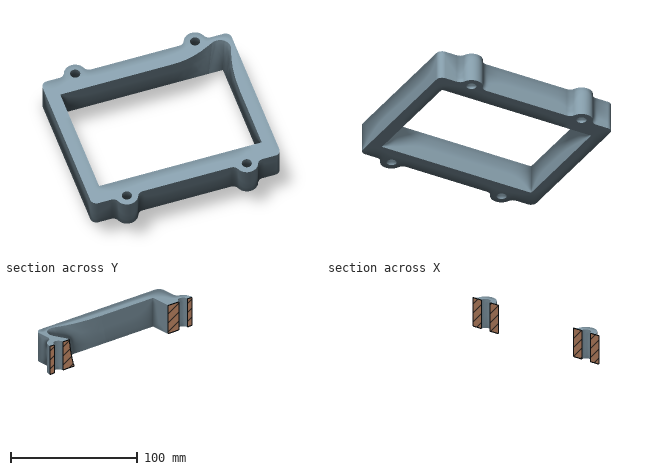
import cadquery as cq
import math

body_width = 128.0
body_length = 158.0
height = 25.0
side_wall = 16.0
end_wall = 11.0
corner_radius = 5.0

lug_radius = 9.0
lug_fillet = 5.0
hole_diameter = 8.0
lug_spacing = 100.2

flare_radius = 8.7
flare_center = (-2.7, -1.5)
flare_start_angle = 70.0
flare_end_angle = 207.0
flare_reach_x = 42.7
flare_reach_y = 42.0
flare_foot_x = 47.9
flare_split_x = 6.8
flare_split_y = 11.8

opening_width = body_width - 2 * side_wall
opening_length = body_length - 2 * end_wall
flare_corner = (-opening_width / 2, opening_length / 2)


def make_body():
    return (
        cq.Workplane("XY")
        .rect(body_width, body_length)
        .extrude(height)
        .edges("|Z")
        .fillet(corner_radius)
    )


def make_lug(x, y):
    """Round lug whose fillets blend tangentially into the long outer edge at x."""
    outward = math.copysign(1, x)
    root = math.sqrt(lug_radius**2 + 2 * lug_radius * lug_fillet)
    blend = lug_radius / (lug_radius + lug_fillet)
    tangent_x = x + outward * blend * lug_fillet
    tangent_y = blend * root
    root_angle = math.atan2(root, lug_fillet)
    middle_angle = math.pi + root_angle / 2
    middle_x = x + outward * lug_fillet * (1 + math.cos(middle_angle))
    middle_y = root + lug_fillet * math.sin(middle_angle)
    inner_x = x - outward * side_wall / 2
    return (
        cq.Workplane("XY")
        .moveTo(inner_x, y - root)
        .lineTo(x, y - root)
        .threePointArc((middle_x, y - middle_y), (tangent_x, y - tangent_y))
        .threePointArc((x + outward * lug_radius, y), (tangent_x, y + tangent_y))
        .threePointArc((middle_x, y + middle_y), (x, y + root))
        .lineTo(inner_x, y + root)
        .close()
        .extrude(height)
    )


def flare_point(dx, dy, z):
    return cq.Vector(flare_corner[0] + dx, flare_corner[1] + dy, z)


def round_end_point(angle):
    """Point on the round end of the relief, on the top face."""
    return flare_point(
        flare_center[0] + flare_radius * math.cos(math.radians(angle)),
        flare_center[1] + flare_radius * math.sin(math.radians(angle)),
        height,
    )


def round_end_arc(start, end):
    points = [round_end_point(a) for a in (start, (start + end) / 2, end)]
    return cq.Edge.makeThreePointArc(*points)


def round_end_tangent(angle):
    return cq.Vector(-math.sin(math.radians(angle)), math.cos(math.radians(angle)), 0)


def make_flare():
    """Ruled loft from the square opening corner up to a rounded outline."""
    middle_angle = (flare_start_angle + flare_end_angle) / 2
    top_x = flare_point(flare_reach_x, 0, height)
    top_y = flare_point(0, -flare_reach_y, height)
    top_edges = [
        cq.Edge.makeSpline(
            [top_x, round_end_point(flare_start_angle)],
            tangents=[cq.Vector(-1, 0, 0), round_end_tangent(flare_start_angle)],
        ),
        round_end_arc(flare_start_angle, middle_angle),
        round_end_arc(middle_angle, flare_end_angle),
        cq.Edge.makeSpline(
            [round_end_point(flare_end_angle), top_y],
            tangents=[round_end_tangent(flare_end_angle), cq.Vector(0, -1, 0)],
        ),
        cq.Edge.makeLine(top_y, top_x),
    ]
    bottom_points = [
        flare_point(flare_foot_x, 0, 0),
        flare_point(flare_split_x, 0, 0),
        flare_point(0, 0, 0),
        flare_point(0, -flare_split_y, 0),
        flare_point(0, -flare_reach_y, 0),
    ]
    top = cq.Wire.assembleEdges(top_edges)
    bottom = cq.Wire.makePolygon(bottom_points, close=True)
    return cq.Workplane(cq.Solid.makeLoft([bottom, top], True))


lug_centers = [
    (x, y)
    for x in (-body_width / 2, body_width / 2)
    for y in (-lug_spacing / 2, lug_spacing / 2)
]

result = make_body()
for center in lug_centers:
    result = result.union(make_lug(*center))

opening = cq.Workplane("XY").rect(opening_width, opening_length).extrude(height)
holes = cq.Workplane("XY").pushPoints(lug_centers).circle(hole_diameter / 2).extrude(height)
result = result.cut(opening).cut(holes).cut(make_flare())